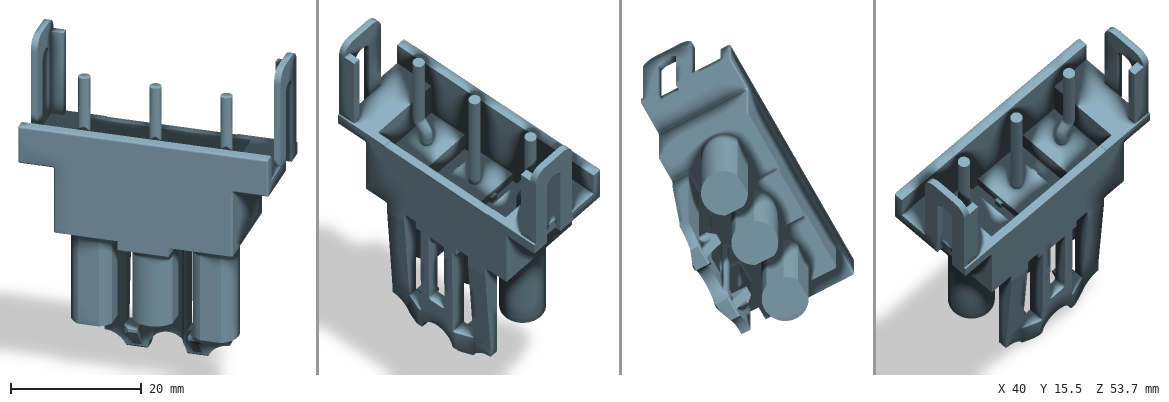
import cadquery as cq
import math


width = 40.0
total_height = 53.7
depth = 15.5
flange_thickness = 2.0
front_wall_thickness = 1.7
front_wall_height = 4.3
body_width = 28.6
body_bottom = -13.05
edge_radius = 0.3
tab_width = 8.15
tab_bottom = -14.55

well_width = 26.0
back_wall_thickness = 1.35
outer_floor = -6.35
middle_floor = -7.95
channel_floor = -9.65
channel_inner_x = 3.55
channel_outer_x = 6.25
key_width = 1.2
key_height = 1.1
rim_relief_width = 20.95
rim_relief_depth = 0.1

contact_y = 6.55
silo_pitch = 9.8
silo_radius = 3.6
silo_front_flat = 3.15
silo_inner_flat = 3.3
outer_silo_bottom = -29.9
middle_silo_bottom = -28.45

pin_diameter = 1.9
pin_pitch = 11.4
pin_top = 11.05
pin_bottom = body_bottom
jog_top = -1.6
jog_bottom = -4.85

ear_thickness = 1.1
ear_front_y = 6.7
ear_back_y = 15.2
ear_top = 16.2
ear_radius = 2.15
ear_slot_width = 3.15
ear_slot_center_y = 11.0
ear_slot_top = 12.45
ear_slot_diameter = 2.7
stiffener_width = 2.0
left_stiffener_thickness = 1.35
right_stiffener_thickness = 1.2

latch_width = 20.0
latch_thickness = 2.8
latch_bottom = ear_top - total_height
latch_front_y = depth - latch_thickness
latch_root_radius = 0.4
latch_shoulder = -35.2
latch_chamfer = 0.25
latch_slot_inner_x = 3.2
latch_slot_outer_x = silo_pitch - silo_inner_flat
latch_slot_bottom = -33.4
arch_half_width = 3.15
arch_height = 3.0
arm_taper_start = -15.05
arm_taper = 1.25
spine_taper = 0.2
groove_floor_width = 4.5
groove_mouth_width = 5.2
groove_depth = 0.65
window_width = 3.15
window_bottom = -29.45
window_radius = 0.55

catch_inner_x = 4.1
catch_width = 1.45
catch_reach = 2.5
catch_top = -33.25
catch_tip_height = 0.55
catch_bottom = -36.9
catch_wing_bottom = -34.7
catch_wing_reach = 1.3
catch_wing_radius = 0.75
catch_wing_bottom_reach = 1.55


def box(x0, x1, y0, y1, z0, z1):
    """Block between two opposite corners."""
    return cq.Workplane("XY").box(x1 - x0, y1 - y0, z1 - z0, centered=False).translate((x0, y0, z0))


def centered_box(size_x, y0, y1, z0, z1):
    """Block that is symmetric about X = 0."""
    return box(-size_x / 2, size_x / 2, y0, y1, z0, z1)


def both_sides(shape):
    """A shape together with its mirror image across X = 0."""
    return shape.union(shape.mirror("YZ"))


def make_block():
    """T-shaped block with the raised front wall and the tab under its middle."""
    half_body = body_width / 2
    half_width = width / 2
    tee = (
        cq.Workplane("XZ")
        .polyline([
            (-half_body, body_bottom), (half_body, body_bottom),
            (half_body, -flange_thickness), (half_width, -flange_thickness),
            (half_width, front_wall_height), (-half_width, front_wall_height),
            (-half_width, -flange_thickness), (-half_body, -flange_thickness),
        ])
        .close()
        .extrude(-depth)
    )
    inside_corners = cq.selectors.BoxSelector(
        (-half_body - edge_radius, 0, -flange_thickness - edge_radius),
        (half_body + edge_radius, depth, -flange_thickness + edge_radius),
    )
    tee = tee.edges("|Y").edges(inside_corners).fillet(edge_radius)
    tee = tee.faces("<Y").edges("not(<Z)").fillet(edge_radius)
    above_flange = centered_box(width, front_wall_thickness, depth, 0, front_wall_height)
    tab = centered_box(tab_width, 0, depth, tab_bottom, body_bottom)
    return tee.cut(above_flange).union(tab)


def make_well():
    """Space of the well: three floors at their own levels, parted by two deep channels."""
    y0 = front_wall_thickness
    y1 = depth - back_wall_thickness
    well = centered_box(well_width, y0, y1, outer_floor, 0)
    well = well.union(centered_box(2 * channel_inner_x, y0, y1, middle_floor, 0))
    channel = box(channel_inner_x, channel_outer_x, y0, y1, channel_floor, 0)
    key = box(
        channel_inner_x, tab_width / 2, contact_y - key_width / 2, contact_y + key_width / 2,
        channel_floor, channel_floor + key_height,
    )
    rim_relief = centered_box(rim_relief_width, y1, depth, -rim_relief_depth, 0)
    return well.union(both_sides(channel.cut(key))).union(rim_relief)


def silo_cylinder(x, bottom):
    """Round column around a contact, from the body underside down."""
    return (
        cq.Workplane("XY", origin=(x, contact_y, bottom))
        .circle(silo_radius)
        .extrude(body_bottom - bottom)
    )


def make_silos():
    """Round middle silo with two side flats, and outer silos flat in front and inside."""
    middle = silo_cylinder(0, middle_silo_bottom).intersect(
        centered_box(2 * latch_slot_inner_x, 0, depth, middle_silo_bottom, body_bottom)
    )
    outer = silo_cylinder(silo_pitch, outer_silo_bottom).intersect(
        box(
            latch_slot_outer_x, width, contact_y - silo_front_flat, depth,
            outer_silo_bottom, body_bottom,
        )
    )
    return both_sides(outer).union(middle)


def make_ear(stiffener_thickness):
    """Mounting ear on the +X end, rising flush from the flange end, with its stiffener."""
    end_x = width / 2
    inner_x = end_x - ear_thickness
    plate = box(inner_x, end_x, ear_front_y, ear_back_y, 0, ear_top)
    plate = plate.edges("|X and >Z").fillet(ear_radius)
    stiffener = box(
        inner_x - stiffener_width, inner_x, ear_back_y - stiffener_thickness, ear_back_y,
        0, ear_top - ear_radius,
    )
    return plate.union(stiffener)


def make_ear_slot():
    """Slot through the +X ear that runs on down the end of the flange."""
    end_x = width / 2
    half = ear_slot_width / 2
    slot = box(
        end_x - ear_thickness, end_x, ear_slot_center_y - half, ear_slot_center_y + half,
        -flange_thickness, ear_slot_top,
    )
    return slot.edges("|X and >Z").fillet(ear_slot_diameter / 2)


def latch_outline():
    """Latch plate face: two feet with an arch between them and a scooped corner outside each."""
    half = latch_width / 2
    foot_x = latch_slot_outer_x
    scoop_width = half - foot_x
    scoop_height = latch_shoulder - latch_bottom
    scoop_radius = (scoop_width**2 + scoop_height**2) / (2 * scoop_height)
    middle_angle = math.asin(scoop_width / scoop_radius) / 2
    scoop_x = half - scoop_radius * math.sin(middle_angle)
    scoop_z = latch_shoulder - scoop_radius * (1 - math.cos(middle_angle))
    return (
        cq.Workplane("XZ", origin=(0, depth, 0))
        .moveTo(-half, body_bottom)
        .lineTo(-half, latch_shoulder)
        .threePointArc((-scoop_x, scoop_z), (-foot_x, latch_bottom))
        .lineTo(-arch_half_width, latch_bottom)
        .threePointArc((0, latch_bottom + arch_height), (arch_half_width, latch_bottom))
        .lineTo(foot_x, latch_bottom)
        .threePointArc((scoop_x, scoop_z), (half, latch_shoulder))
        .lineTo(half, body_bottom)
        .close()
    )


def side_profile(x, points, length):
    """Prism of a (Y, Z) outline, running from x toward +X."""
    return cq.Workplane("YZ", origin=(x, 0, 0)).polyline(points).close().extrude(length)


def make_latch():
    """Latch plate hanging from the back of the body, thinned toward its foot."""
    half = latch_width / 2
    plate = latch_outline().extrude(latch_thickness)

    spine_back_y = depth - spine_taper
    plate = plate.intersect(side_profile(-half, [
        (latch_front_y, body_bottom), (depth, body_bottom), (depth, arm_taper_start),
        (spine_back_y, latch_bottom + latch_chamfer),
        (spine_back_y - latch_chamfer, latch_bottom),
        (latch_front_y + latch_chamfer, latch_bottom),
        (latch_front_y, latch_bottom + latch_chamfer),
    ], latch_width))

    arm_back_y = depth - arm_taper
    arm_relief = side_profile(latch_slot_outer_x, [
        (depth, arm_taper_start), (arm_back_y, latch_slot_bottom),
        (arm_back_y, latch_bottom), (depth, latch_bottom),
    ], half - latch_slot_outer_x)
    back_slope = (
        cq.Workplane("XY", origin=(0, 0, latch_bottom))
        .polyline([
            (latch_slot_inner_x, depth), (latch_slot_outer_x, arm_back_y),
            (latch_slot_outer_x, depth),
        ])
        .close()
        .extrude(latch_slot_bottom - latch_bottom)
    )
    slot = box(
        latch_slot_inner_x, latch_slot_outer_x, latch_front_y, depth,
        latch_slot_bottom, body_bottom,
    )
    plate = plate.cut(both_sides(arm_relief)).cut(both_sides(back_slope)).cut(both_sides(slot))

    groove = (
        cq.Workplane("XY", origin=(0, 0, latch_bottom))
        .polyline([
            (-groove_mouth_width / 2, latch_front_y), (groove_mouth_width / 2, latch_front_y),
            (groove_floor_width / 2, latch_front_y + groove_depth),
            (-groove_floor_width / 2, latch_front_y + groove_depth),
        ])
        .close()
        .extrude(tab_bottom - latch_bottom)
    )
    window = centered_box(window_width, latch_front_y, depth, window_bottom, tab_bottom)
    window = window.edges("|Y and <Z").fillet(window_radius)
    return plate.cut(groove).cut(window)


def fillet_latch_root(shape):
    """Round the inside edges where the latch plate meets the body underside and the tab."""
    half = latch_width / 2
    margin = latch_root_radius / 2
    body_edges = cq.selectors.BoxSelector(
        (-half - margin, latch_front_y - margin, body_bottom - margin),
        (half + margin, depth - margin, body_bottom + margin),
    )
    tab_edges = cq.selectors.BoxSelector(
        (-half, latch_front_y - margin, tab_bottom - margin),
        (half, latch_front_y + margin, tab_bottom + margin),
    )
    return shape.edges(body_edges + tab_edges).fillet(latch_root_radius)


def make_catch():
    """Wedge on the +X foot of the latch, with a wing that reaches out to the slot edge."""
    tip_y = latch_front_y - catch_reach
    outer_x = catch_inner_x + catch_width
    wedge_points = [
        (latch_front_y, catch_bottom), (latch_front_y, catch_top),
        (tip_y, catch_top), (tip_y, catch_top - catch_tip_height),
        (latch_front_y - catch_wing_bottom_reach, catch_wing_bottom),
    ]
    nose = side_profile(catch_inner_x, wedge_points, catch_width)
    wing = side_profile(outer_x, wedge_points, latch_slot_outer_x - outer_x)
    wing_limit = (
        cq.Workplane("XY", origin=(0, 0, catch_wing_bottom))
        .polyline([
            (catch_inner_x, latch_front_y), (latch_slot_outer_x, latch_front_y),
            (latch_slot_outer_x, latch_front_y - catch_wing_reach), (outer_x, tip_y),
            (catch_inner_x, tip_y),
        ])
        .close()
        .extrude(catch_top - catch_wing_bottom)
    )
    wing_limit = wing_limit.faces(">X").edges("<Z").fillet(catch_wing_radius)
    return nose.union(wing.intersect(wing_limit))


def make_pin_path(x_top, x_bottom):
    """Centre line of a pin, from its lower end up."""
    path = cq.Workplane("XZ", origin=(0, contact_y, 0)).moveTo(x_bottom, pin_bottom)
    if x_top == x_bottom:
        return path.lineTo(x_top, pin_top)
    return (
        path.lineTo(x_bottom, jog_bottom)
        .spline([(x_top, jog_top)], tangents=[(0, 1), (0, 1)], includeCurrent=True)
        .lineTo(x_top, pin_top)
    )


def make_pin(side):
    """Contact pin: straight in the middle (side 0), jogged outward above the floor at the ends."""
    start = cq.Workplane("XY", origin=(side * silo_pitch, contact_y, pin_bottom))
    return start.circle(pin_diameter / 2).sweep(make_pin_path(side * pin_pitch, side * silo_pitch))


def make_housing(pins):
    """One-piece housing with its silos, ears and latch, and a matching hole for each pin."""
    housing = fillet_latch_root(make_block().union(make_latch()))
    housing = housing.union(both_sides(make_catch())).union(make_silos()).cut(make_well())
    right_ear = make_ear(right_stiffener_thickness)
    left_ear = make_ear(left_stiffener_thickness).mirror("YZ")
    housing = housing.union(right_ear).union(left_ear).cut(both_sides(make_ear_slot()))
    for pin in pins:
        housing = housing.cut(pin)
    return housing


pins = [make_pin(side) for side in (-1, 0, 1)]
housing = make_housing(pins)

result = cq.Compound.makeCompound([housing.val(), *[pin.val() for pin in pins]])